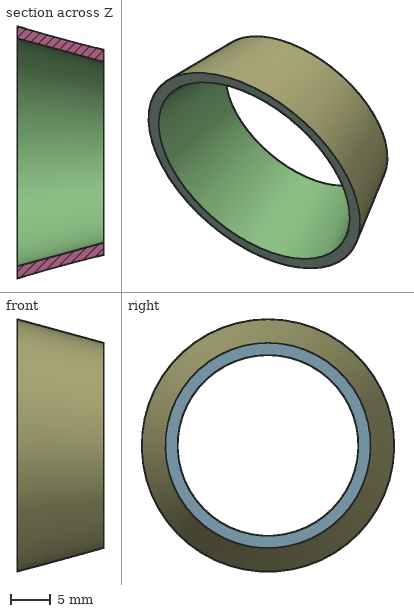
import cadquery as cq

length = 11.0
wide_radius = 16.0
narrow_radius = 13.0
wide_bore_radius = 14.43
narrow_bore_radius = 11.42

wall_profile = [
    (0, wide_bore_radius),
    (0, wide_radius),
    (length, narrow_radius),
    (length, narrow_bore_radius),
]

result = (
    cq.Workplane("XZ")
    .polyline(wall_profile)
    .close()
    .revolve(360, (0, 0, 0), (1, 0, 0))
)